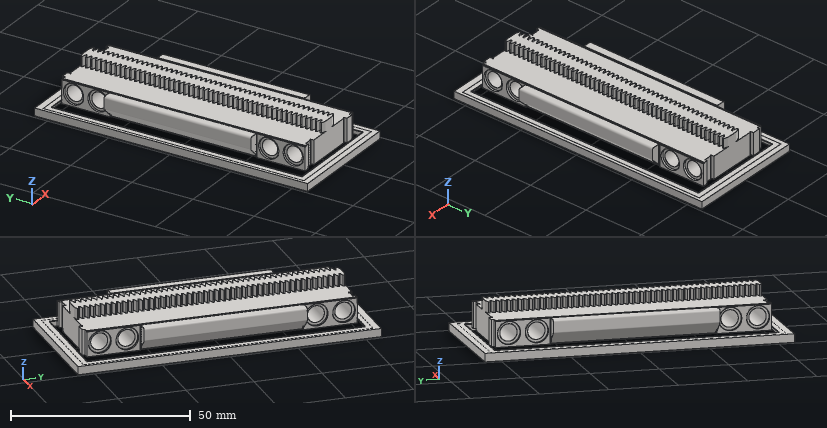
import cadquery as cq
FRAME_WIDTH = 38.4
FRAME_LENGTH = 89.4
FRAME_HEIGHT = 2.5
OPENING_WIDTH = 32.4
OPENING_LENGTH = 81.9
LIP_THICKNESS = 0.22
UNDERCUT = 1.7

BLOCK_WIDTH = 25.3
BLOCK_LENGTH = 79.7
BLOCK_BOTTOM = FRAME_HEIGHT - LIP_THICKNESS
BLOCK_TOP = 10.0
BLOCK_HEIGHT = BLOCK_TOP - BLOCK_BOTTOM
EDGE_STEP_WIDTH = 0.45
EDGE_STEP_DROP = 0.22

WING_LENGTH = 48.1
WING_REACH = 3.2
WING_SIDE_HEIGHT = 3.8
WING_TOP_RADIUS = 0.7
WING_LOWER_RADIUS = 0.5

SLIT_WIDTH = 0.3

RACK_WIDTH = 6.4
RACK_HEIGHT = 3.2
TOOTH_COUNT = 50
TOOTH_DEPTH = 1.5
TOOTH_TIP = 0.45
TOOTH_GAP = 0.3
TOOTH_PITCH = (BLOCK_LENGTH + TOOTH_GAP) / TOOTH_COUNT

KEY_DEPTH = 0.8
KEY_OUTER_X = 11.0
KEY_INNER_X = 8.3
NOTCH_INNER_X = KEY_INNER_X - SLIT_WIDTH

HOLE_DIAMETER = 5.0
COUNTERBORE_DIAMETER = 6.6
COUNTERBORE_DEPTH = 0.7
HOLE_PLACES_Y = (27.9, 35.9)
HOLE_Z = 6.3


def box(width, length, height, bottom):
    """Box centred on the Z axis, standing on the given height."""
    return cq.Workplane("XY").workplane(offset=bottom).rect(width, length).extrude(height)


def upright(x_range, y_range):
    """Upright box as tall as the block, between two X and two Y places."""
    width = x_range[1] - x_range[0]
    length = y_range[1] - y_range[0]
    return box(width, length, BLOCK_HEIGHT, BLOCK_BOTTOM).translate(
        (x_range[0] + width / 2, y_range[0] + length / 2, 0)
    )


def turned(shape, turn):
    """Shape turned about the Z axis, in degrees."""
    return shape.rotate((0, 0, 0), (0, 0, 1), turn)


def make_frame():
    """Ring with a thin inward lip at the top and a wider opening below it."""
    ring = box(FRAME_WIDTH, FRAME_LENGTH, FRAME_HEIGHT, 0)
    opening = box(OPENING_WIDTH, OPENING_LENGTH, FRAME_HEIGHT, 0)
    wide_opening = box(
        OPENING_WIDTH + 2 * UNDERCUT,
        OPENING_LENGTH + 2 * UNDERCUT,
        FRAME_HEIGHT - LIP_THICKNESS,
        0,
    )
    return ring.cut(opening).cut(wide_opening)


def make_block():
    """Main block, with a shallow step along both long top edges."""
    half = BLOCK_WIDTH / 2
    outline = [
        (-half, BLOCK_BOTTOM),
        (half, BLOCK_BOTTOM),
        (half, BLOCK_TOP - EDGE_STEP_DROP),
        (half - EDGE_STEP_WIDTH, BLOCK_TOP - EDGE_STEP_DROP),
        (half - EDGE_STEP_WIDTH, BLOCK_TOP),
        (-half + EDGE_STEP_WIDTH, BLOCK_TOP),
        (-half + EDGE_STEP_WIDTH, BLOCK_TOP - EDGE_STEP_DROP),
        (-half, BLOCK_TOP - EDGE_STEP_DROP),
    ]
    return cq.Workplane("XZ").polyline(outline).close().extrude(BLOCK_LENGTH / 2, both=True)


def make_wing():
    """Wing on the +X side: rounded top edge, 45 degree underside."""
    root = BLOCK_WIDTH / 2
    tip = root + WING_REACH
    side_bottom = BLOCK_TOP - WING_SIDE_HEIGHT
    outline = [
        (root, BLOCK_TOP),
        (tip, BLOCK_TOP),
        (tip, side_bottom),
        (root, side_bottom - WING_REACH),
    ]
    wing = cq.Workplane("XZ").polyline(outline).close().extrude(WING_LENGTH / 2, both=True)
    wing = wing.edges("|Y and >X and >Z").fillet(WING_TOP_RADIUS)
    lower_edge = cq.selectors.NearestToPointSelector((tip, 0, side_bottom))
    return wing.edges(lower_edge).fillet(WING_LOWER_RADIUS)


def make_rack():
    """Rack with teeth on both sides; the first and last flanks start at the block ends."""
    tip = RACK_WIDTH / 2
    root = tip - TOOTH_DEPTH
    flank = (TOOTH_PITCH - TOOTH_TIP - TOOTH_GAP) / 2
    right_side = []
    for tooth in range(TOOTH_COUNT):
        start = tooth * TOOTH_PITCH - BLOCK_LENGTH / 2
        right_side += [
            (root, start),
            (tip, start + flank),
            (tip, start + flank + TOOTH_TIP),
            (root, start + TOOTH_PITCH - TOOTH_GAP),
        ]
    left_side = [(-x, y) for x, y in reversed(right_side)]
    return (
        cq.Workplane("XY")
        .workplane(offset=BLOCK_TOP)
        .polyline(right_side + left_side)
        .close()
        .extrude(RACK_HEIGHT)
    )


def make_key():
    """Key on the front end (-Y), right of centre."""
    end = -BLOCK_LENGTH / 2
    return upright((KEY_INNER_X, KEY_OUTER_X), (end - KEY_DEPTH, end))


def make_notch():
    """Cutter for the notch on the front end, left of centre."""
    end = -BLOCK_LENGTH / 2
    return upright((-KEY_OUTER_X, -NOTCH_INNER_X), (end, end + KEY_DEPTH))


def make_end_slits():
    """Cutter for the slits at the inner corners of the front key and notch."""
    end = -BLOCK_LENGTH / 2
    notch_floor = end + KEY_DEPTH
    key_slit = upright((NOTCH_INNER_X, KEY_INNER_X), (end, end + SLIT_WIDTH))
    notch_slit = upright((-KEY_INNER_X, -NOTCH_INNER_X), (notch_floor, notch_floor + SLIT_WIDTH))
    return key_slit.union(notch_slit)


def make_wing_slits():
    """Cutter for the slits at both ends of the +X wing, which pass just inside the wing."""
    x_range = (BLOCK_WIDTH / 2 - EDGE_STEP_WIDTH, BLOCK_WIDTH / 2 + SLIT_WIDTH)
    wing_end = WING_LENGTH / 2
    back = upright(x_range, (wing_end - SLIT_WIDTH, wing_end))
    front = upright(x_range, (-wing_end, -wing_end + SLIT_WIDTH))
    return back.union(front)


def make_undercut():
    """Cutter that carries the +X wing's sloping underside on into the block."""
    half = BLOCK_WIDTH / 2
    inner = half - EDGE_STEP_WIDTH
    slope_start = BLOCK_TOP - WING_SIDE_HEIGHT - WING_REACH
    outline = [
        (inner, BLOCK_BOTTOM),
        (half, BLOCK_BOTTOM),
        (half, slope_start),
        (inner, slope_start - EDGE_STEP_WIDTH),
    ]
    return cq.Workplane("XZ").polyline(outline).close().extrude(WING_LENGTH / 2, both=True)


def cross_cylinder(diameter, start_x, length, y):
    """Cylinder along X at the height of the cross holes."""
    return (
        cq.Workplane("YZ")
        .workplane(offset=start_x)
        .center(y, HOLE_Z)
        .circle(diameter / 2)
        .extrude(length)
    )


def drill_cross_hole(slide, y):
    """Slide with one through hole along X, counterbored at both sides."""
    half = BLOCK_WIDTH / 2
    slide = slide.cut(cross_cylinder(HOLE_DIAMETER, -half, BLOCK_WIDTH, y))
    slide = slide.cut(cross_cylinder(COUNTERBORE_DIAMETER, -half, COUNTERBORE_DEPTH, y))
    return slide.cut(cross_cylinder(COUNTERBORE_DIAMETER, half, -COUNTERBORE_DEPTH, y))


def make_slide():
    """Block with its rack, wings, keys, notches, slits and cross holes."""
    slide = make_block().union(make_rack())
    for turn in (0, 180):
        for added in (make_wing(), make_key()):
            slide = slide.union(turned(added, turn))
        for removed in (make_notch(), make_end_slits(), make_wing_slits(), make_undercut()):
            slide = slide.cut(turned(removed, turn))
    for y in HOLE_PLACES_Y:
        for side in (-1, 1):
            slide = drill_cross_hole(slide, side * y)
    return slide


frame = make_frame()
slide = make_slide()
result = cq.Compound.makeCompound([frame.val(), slide.val()])